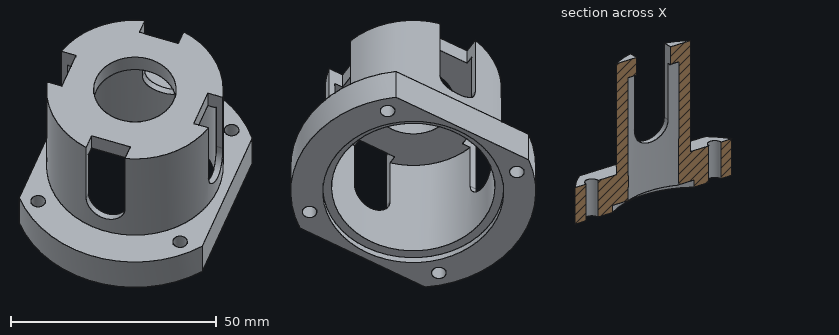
import cadquery as cq

flange_diameter = 59.6
flange_height = 10.0
total_width = 47.0
left_flat = 23.05
right_flat = total_width - left_flat

total_height = 40.0
cup_diameter = 43.0
cavity_diameter = 39.7
cap_thickness = 4.9
cap_bore_diameter = 20.0

recess_diameter = 44.0
recess_depth = 1.9

slot_width = 10.0
slot_depth = 25.05
slot_inner_distance = 17.05
slot_count = 4

bolt_hole_diameter = 3.5
bolt_spacing = 36.7


def make_flange():
    disc = cq.Workplane("XY").circle(flange_diameter / 2).extrude(flange_height)
    trim = (
        cq.Workplane("XY")
        .center((right_flat - left_flat) / 2, 0)
        .rect(total_width, flange_diameter)
        .extrude(flange_height)
    )
    return (
        disc.intersect(trim)
        .faces(">Z")
        .workplane(origin=(0, 0, flange_height))
        .rect(bolt_spacing, bolt_spacing, forConstruction=True)
        .vertices()
        .hole(bolt_hole_diameter)
    )


def make_slot_cutter():
    """Slot on the +X side, profile in YZ, running outward from its inner wall."""
    slot_radius = slot_width / 2
    arc_bottom = total_height - slot_depth
    arc_ends = arc_bottom + slot_radius
    return (
        cq.Workplane("YZ", origin=(slot_inner_distance, 0, 0))
        .moveTo(-slot_radius, total_height)
        .lineTo(-slot_radius, arc_ends)
        .threePointArc((0, arc_bottom), (slot_radius, arc_ends))
        .lineTo(slot_radius, total_height)
        .close()
        .extrude(cup_diameter / 2 - slot_inner_distance)
    )


cup = cq.Workplane("XY").circle(cup_diameter / 2).extrude(total_height)
cavity = cq.Workplane("XY").circle(cavity_diameter / 2).extrude(total_height - cap_thickness)
cap_bore = cq.Workplane("XY").circle(cap_bore_diameter / 2).extrude(total_height)
recess = cq.Workplane("XY").circle(recess_diameter / 2).extrude(recess_depth)

result = make_flange().union(cup).cut(cavity).cut(cap_bore).cut(recess)

slot_cutter = make_slot_cutter()
for index in range(slot_count):
    angle = index * 360 / slot_count
    result = result.cut(slot_cutter.rotate((0, 0, 0), (0, 0, 1), angle))